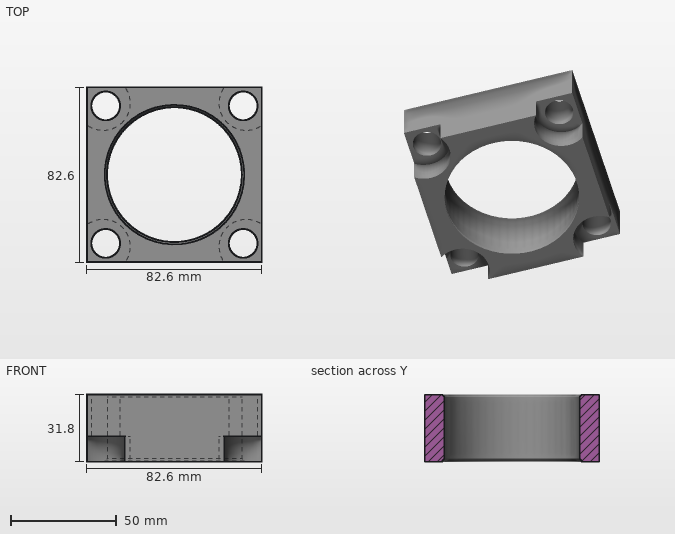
import cadquery as cq

side = 82.55
height = 31.8

bore_diameter = 63.6
bore_chamfer = 1.15
lip_thickness = 0.4
undercut_depth = 1.2

hole_diameter = 13.45
hole_inset = 8.8
relief_inset = 7.5
relief_diameter = 25.6
relief_height = 12.0


def corner_cylinders(inset, diameter, length):
    """Four upright cylinders inset equally from the block sides, rising from the bottom face."""
    spacing = side - 2 * inset
    return (
        cq.Workplane("XY")
        .rect(spacing, spacing, forConstruction=True)
        .vertices()
        .circle(diameter / 2)
        .extrude(length)
    )


def bore_cutter():
    """Bore profile revolved about Z: lip, flat ledge, sloping undercut roof, wall, top chamfer."""
    radius = bore_diameter / 2
    return (
        cq.Workplane("XZ")
        .moveTo(0, 0)
        .lineTo(radius, 0)
        .lineTo(radius, lip_thickness)
        .lineTo(radius + undercut_depth, lip_thickness)
        .lineTo(radius, lip_thickness + undercut_depth)
        .lineTo(radius, height - bore_chamfer)
        .lineTo(radius + bore_chamfer, height)
        .lineTo(0, height)
        .close()
        .revolve(360, (0, 0), (0, 1))
    )


block = cq.Workplane("XY").rect(side, side).extrude(height)
bolt_holes = corner_cylinders(hole_inset, hole_diameter, height)
reliefs = corner_cylinders(relief_inset, relief_diameter, relief_height)

result = block.cut(bore_cutter()).cut(bolt_holes).cut(reliefs)